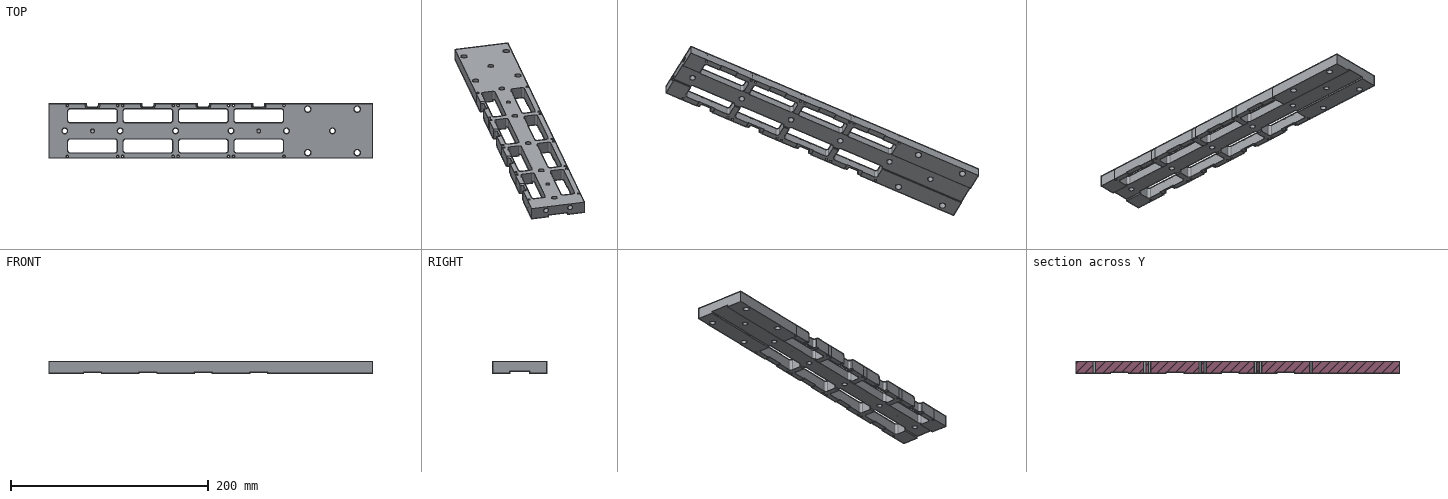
import cadquery as cq
import math

length = 327.0
width = 55.0
thickness = 12.0

first_hole_x = 16.0
mount_end_margin = 15.5
station_pitch = 56.0
station_count = 4
first_window_x = first_hole_x + station_pitch / 2
window_xs = [first_window_x + i * station_pitch for i in range(station_count)]

window_length = 50.0
window_width = 14.0
window_offset_y = 15.25
window_corner_radius = 2.5

centre_hole_diameter = 5.5
mount_hole_diameter = 6.2
mount_pitch_x = 50.0
mount_pitch_y = 44.0
pin_hole_diameter = 2.2
pin_pitch_x = 51.0
pin_pitch_y = 51.4

drill_point_angle = 118.0
locating_hole_diameter = 4.0
locating_hole_depth = 8.0
end_hole_diameter = 5.0
end_hole_depth = 12.0
end_hole_offset_y = 12.5
end_hole_z = 7.75

channel_width = 20.0
channel_depth = 2.0
groove_width = 18.0
groove_depth = 1.0

notch_width = 12.0
notch_depth = 3.5
notch_corner_radius = 2.0
notch_chamfer = 1.5
notch_chamfer_angle = 45.0


def make_plate():
    return cq.Workplane("XY").box(length, width, thickness, centered=(False, True, False))


def through_holes(points, diameter):
    return cq.Workplane("XY").pushPoints(points).circle(diameter / 2).extrude(thickness)


def drilled_hole(diameter, depth):
    """Cutter along +Z from the origin, with a conical tip beyond the full-diameter depth."""
    radius = diameter / 2
    tip_length = radius / math.tan(math.radians(drill_point_angle / 2))
    profile = [(0, 0), (radius, 0), (radius, depth), (0, depth + tip_length)]
    return cq.Workplane("XZ").polyline(profile).close().revolve(360, (0, 0), (0, 1))


def cut_underside(plate):
    channel = cq.Workplane("XY").box(length, channel_width, channel_depth, centered=(False, True, False))
    grooves = (
        cq.Workplane("XY")
        .pushPoints([(x, 0) for x in window_xs])
        .rect(groove_width, width)
        .extrude(groove_depth)
    )
    return plate.cut(channel).cut(grooves)


def cut_windows(plate):
    centres = [(x, side * window_offset_y) for x in window_xs for side in (-1, 1)]
    windows = (
        cq.Workplane("XY")
        .pushPoints(centres)
        .rect(window_length, window_width)
        .extrude(thickness)
        .edges("|Z")
        .fillet(window_corner_radius)
    )
    return plate.cut(windows)


def notch_outline(z, margin):
    """Rounded rectangle centred on the +Y edge at X = 0, grown outward by margin."""
    return (
        cq.Workplane("XY", origin=(0, width / 2, z))
        .sketch()
        .rect(notch_width + 2 * margin, 2 * (notch_depth + margin))
        .vertices()
        .fillet(notch_corner_radius + margin)
        .finalize()
    )


def cut_edge_notches(plate):
    straight = notch_outline(0, 0).extrude(thickness)
    flare = notch_outline(thickness, notch_chamfer).extrude(-notch_chamfer, taper=notch_chamfer_angle)
    notch = straight.union(flare)
    for x in window_xs:
        plate = plate.cut(notch.translate((x, 0, 0)))
    return plate


def cut_through_holes(plate):
    mount_centre_x = length - mount_end_margin - mount_pitch_x / 2
    centre_points = [(first_hole_x + i * station_pitch, 0) for i in range(station_count + 1)]
    centre_points.append((mount_centre_x, 0))
    corner_signs = [(i, j) for i in (-1, 1) for j in (-1, 1)]
    mount_points = [
        (mount_centre_x + i * mount_pitch_x / 2, j * mount_pitch_y / 2) for i, j in corner_signs
    ]
    pin_points = [
        (x + i * pin_pitch_x / 2, j * pin_pitch_y / 2) for x in window_xs for i, j in corner_signs
    ]
    plate = plate.cut(through_holes(centre_points, centre_hole_diameter))
    plate = plate.cut(through_holes(mount_points, mount_hole_diameter))
    return plate.cut(through_holes(pin_points, pin_hole_diameter))


def cut_blind_holes(plate):
    locating_hole = drilled_hole(locating_hole_diameter, locating_hole_depth)
    locating_hole = locating_hole.rotate((0, 0, 0), (1, 0, 0), 180)
    for x in (window_xs[0], window_xs[-1]):
        plate = plate.cut(locating_hole.translate((x, 0, thickness)))
    end_hole = drilled_hole(end_hole_diameter, end_hole_depth).rotate((0, 0, 0), (0, 1, 0), 90)
    for side in (-1, 1):
        plate = plate.cut(end_hole.translate((0, side * end_hole_offset_y, end_hole_z)))
    return plate


result = make_plate()
result = cut_underside(result)
result = cut_windows(result)
result = cut_edge_notches(result)
result = cut_through_holes(result)
result = cut_blind_holes(result)